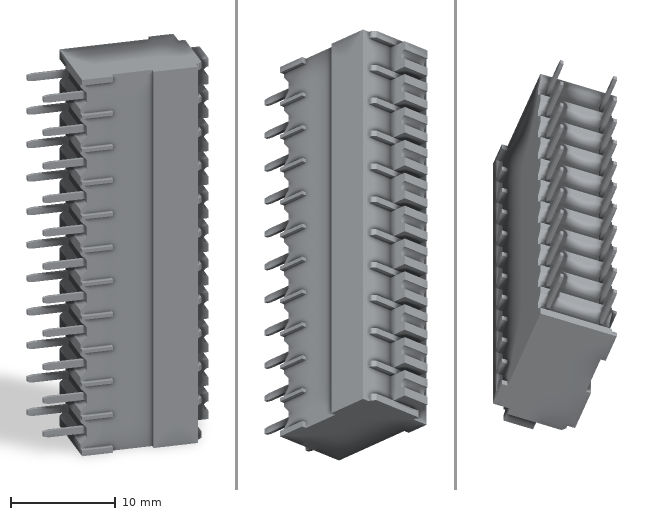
import cadquery as cq

LENGTH = 39.2
WIDTH = 8.4
DEPTH = 17.15
OVERLAP = 0.2

CELL_COUNT = 11
PITCH = 3.5
CELL_CENTRES = [LENGTH / 2 + (i - (CELL_COUNT - 1) / 2) * PITCH for i in range(CELL_COUNT)]

PIN_LENGTH = 3.5
BUTTON_TOP = DEPTH - PIN_LENGTH
SHELF = 11.55
WALL_TOP = 12.25
LIP_BOTTOM = 10.55
LEFT_RIB_BOTTOM = 9.1
RIGHT_FOOT_TOP = 3.1
RIGHT_HEAD_BOTTOM = 7.15

BODY_LEFT = 0.6
BODY_RIGHT = 7.88
WALL_LEFT = 1.72
WALL_RIGHT = 7.6
WALL_CHAMFER = 0.35
BUTTON_LEFT = 1.85
BUTTON_RIGHT = 4.85

LEFT_RIB_HEIGHT = 0.6
RIGHT_RIB_HEIGHT = 0.35
BUTTON_HEIGHT = 2.7
BUTTON_NOTCH_RADIUS = 0.49
GROOVE_DEPTH = 0.63
GROOVE_MOUTH = 2.35
GROOVE_FLOOR = 0.98

PIN_LEFT_EDGES = (1.35, 6.8)
PIN_WIDTH = 0.35
PIN_HEIGHT = 0.7
PIN_TIP_HEIGHT = 0.5
PIN_TAPER = 0.6


def block(x_range, y_range, z_range):
    """Box between the given limits."""
    (x0, x1), (y0, y1), (z0, z1) = x_range, y_range, z_range
    return cq.Workplane("XY").box(x1 - x0, y1 - y0, z1 - z0, centered=False).translate((x0, y0, z0))


def boundary_ranges(height):
    """Z limits of the strips left between cells, each `height` tall, and of the two end strips."""
    gap = (PITCH - height) / 2
    starts = [0.0] + [z + gap for z in CELL_CENTRES]
    ends = [z - gap for z in CELL_CENTRES] + [LENGTH]
    return list(zip(starts, ends))


def housing():
    full = (0, LENGTH)
    body = block((BODY_LEFT, BODY_RIGHT), (0, SHELF), full)
    body = body.union(block((0, BODY_LEFT + OVERLAP), (LIP_BOTTOM, SHELF), full))
    return body.union(block((BODY_RIGHT - OVERLAP, WIDTH), (RIGHT_HEAD_BOTTOM, SHELF), full))


def partition_wall(z_range):
    """Wall standing on the shelf between two buttons, bevelled at its right top corner."""
    wall = block((WALL_LEFT, WALL_RIGHT), (SHELF - OVERLAP, WALL_TOP), z_range)
    return wall.edges("|Z and >X and >Y").chamfer(WALL_CHAMFER)


def left_rib(z_range):
    return block((0, BODY_LEFT + OVERLAP), (LEFT_RIB_BOTTOM, SHELF), z_range)


def right_foot(z_range):
    return block((BODY_RIGHT - OVERLAP, WIDTH), (0, RIGHT_FOOT_TOP), z_range)


def button(z):
    """Push button with a round groove across its top."""
    x_range = (BUTTON_LEFT, BUTTON_RIGHT)
    half = BUTTON_HEIGHT / 2
    body = block(x_range, (SHELF - OVERLAP, BUTTON_TOP), (z - half, z + half))
    notch = (
        cq.Workplane("YZ", origin=(BUTTON_LEFT, 0, 0))
        .center(BUTTON_TOP, z)
        .circle(BUTTON_NOTCH_RADIUS)
        .extrude(BUTTON_RIGHT - BUTTON_LEFT)
    )
    return body.cut(notch)


def front_groove(z):
    """Flat-bottomed V groove running across the front face."""
    return (
        cq.Workplane("YZ")
        .polyline([
            (0, z - GROOVE_MOUTH / 2),
            (GROOVE_DEPTH, z - GROOVE_FLOOR / 2),
            (GROOVE_DEPTH, z + GROOVE_FLOOR / 2),
            (0, z + GROOVE_MOUTH / 2),
        ])
        .close()
        .extrude(WIDTH)
    )


def pin(x, z):
    """Flat pin whose tip narrows in height."""
    taper_start = PIN_TAPER - PIN_LENGTH
    return (
        cq.Workplane("YZ", origin=(x, 0, 0))
        .polyline([
            (GROOVE_DEPTH + OVERLAP, z - PIN_HEIGHT / 2),
            (taper_start, z - PIN_HEIGHT / 2),
            (-PIN_LENGTH, z - PIN_TIP_HEIGHT / 2),
            (-PIN_LENGTH, z + PIN_TIP_HEIGHT / 2),
            (taper_start, z + PIN_HEIGHT / 2),
            (GROOVE_DEPTH + OVERLAP, z + PIN_HEIGHT / 2),
        ])
        .close()
        .extrude(PIN_WIDTH)
    )


result = housing()

for strip in boundary_ranges(LEFT_RIB_HEIGHT):
    result = result.union(partition_wall(strip)).union(left_rib(strip))

for strip in boundary_ranges(RIGHT_RIB_HEIGHT):
    result = result.union(right_foot(strip))

for centre in CELL_CENTRES:
    result = result.cut(front_groove(centre)).union(button(centre))
    for left_edge in PIN_LEFT_EDGES:
        result = result.union(pin(left_edge, centre))